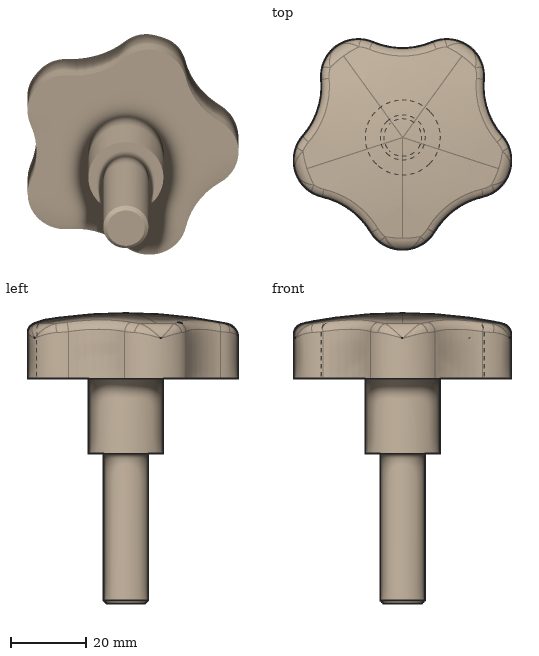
import cadquery as cq
import math

lobe_count = 5
lobe_radius = 10.0
lobe_pitch_radius = 20.0
grip_radius = 20.0
head_height = 17.5
rim_drop = 3.5
wall_fillet = 2.5
dome_rim_radius = 4.0

hub_diameter = 20.0
hub_length = 20.0
stud_diameter = 12.0
stud_length = 40.0
stud_chamfer = 1.0

lobe_step = 2 * math.pi / lobe_count
first_lobe_angle = -math.pi / 2
tip_radius = lobe_pitch_radius + lobe_radius
dome_radius = (tip_radius**2 + rim_drop**2) / (2 * rim_drop)

half_lobe_gap = lobe_pitch_radius * math.sin(lobe_step / 2)
lobe_gap_distance = lobe_pitch_radius * math.cos(lobe_step / 2)
grip_pitch_radius = lobe_gap_distance + math.sqrt((lobe_radius + grip_radius)**2 - half_lobe_gap**2)
grip_depth_radius = grip_pitch_radius - grip_radius


def polar(radius, angle):
    return (radius * math.cos(angle), radius * math.sin(angle))


def tangent_point(lobe_angle, grip_angle):
    """Point where a lobe arc meets the neighbouring grip arc."""
    lobe_x, lobe_y = polar(lobe_pitch_radius, lobe_angle)
    grip_x, grip_y = polar(grip_pitch_radius, grip_angle)
    share = lobe_radius / (lobe_radius + grip_radius)
    return (lobe_x + share * (grip_x - lobe_x), lobe_y + share * (grip_y - lobe_y))


def star_outline():
    """Closed star profile of alternating lobe and grip arcs."""
    start = tangent_point(first_lobe_angle, first_lobe_angle - lobe_step / 2)
    outline = cq.Workplane("XY").moveTo(*start)
    for index in range(lobe_count):
        lobe_angle = first_lobe_angle + index * lobe_step
        grip_angle = lobe_angle + lobe_step / 2
        next_lobe_angle = lobe_angle + lobe_step
        outline = outline.threePointArc(polar(tip_radius, lobe_angle), tangent_point(lobe_angle, grip_angle))
        outline = outline.threePointArc(
            polar(grip_depth_radius, grip_angle), tangent_point(next_lobe_angle, grip_angle)
        )
    return outline.close()


def make_dome_sector():
    """Round domed blank with a rounded rim, swept from the first lobe tip to the next."""
    dome_centre_z = head_height - dome_radius
    rim_centre_x = tip_radius - dome_rim_radius
    rim_centre_z = dome_centre_z + math.sqrt((dome_radius - dome_rim_radius)**2 - rim_centre_x**2)
    rim_tilt = math.atan2(rim_centre_z - dome_centre_z, rim_centre_x)

    def dome_point(angle):
        x, z = polar(dome_radius, angle)
        return (x, z + dome_centre_z)

    def rim_point(angle):
        x, z = polar(dome_rim_radius, angle)
        return (x + rim_centre_x, z + rim_centre_z)

    profile = (
        cq.Workplane("XZ")
        .lineTo(tip_radius, 0)
        .lineTo(*rim_point(0))
        .threePointArc(rim_point(rim_tilt / 2), rim_point(rim_tilt))
        .threePointArc(dome_point((rim_tilt + math.pi / 2) / 2), (0, head_height))
        .close()
    )
    sector = profile.revolve(math.degrees(lobe_step), (0, 0), (0, 1))
    return sector.rotate((0, 0, 0), (0, 0, 1), math.degrees(first_lobe_angle))


def make_head_sector():
    """One grip with half a lobe on each side, its walls blended into the domed top."""
    sector = star_outline().extrude(head_height).intersect(make_dome_sector())
    wall_top_edges = sector.faces("%CYLINDER").edges("not(|Z or <Z)")
    return wall_top_edges.fillet(wall_fillet)


def around_axis(faces):
    """Copies of one sector's faces, one set for each lobe."""
    copies = []
    for index in range(lobe_count):
        turn = math.degrees(index * lobe_step)
        copies.extend(face.rotate((0, 0, 0), (0, 0, 1), turn) for face in faces.vals())
    return copies


def make_head():
    """Full star head, sewn from the outer faces of the sectors.

    The sectors meet at the lobe tips, where the wall fillet fades out. Split walls are merged
    into single faces; the dome stays split because its faces share the sphere's pole.
    """
    sector = make_head_sector()
    dome_faces = around_axis(sector.faces("%SPHERE"))
    side_and_base_faces = around_axis(sector.faces("not (#Z or %SPHERE)"))
    side_and_base = cq.Shell.makeShell(side_and_base_faces).clean()
    skin = cq.Shell.makeShell(side_and_base.Faces() + dome_faces)
    return cq.Workplane(cq.Solid.makeSolid(skin))


def make_stem():
    """Hub and chamfered stud hanging below the head."""
    hub = cq.Workplane("XY").circle(hub_diameter / 2).extrude(-hub_length)
    stud = cq.Workplane("XY").workplane(offset=-hub_length).circle(stud_diameter / 2).extrude(-stud_length)
    stud = stud.faces("<Z").chamfer(stud_chamfer)
    return hub.union(stud)


result = make_head().union(make_stem(), clean=False).solids()